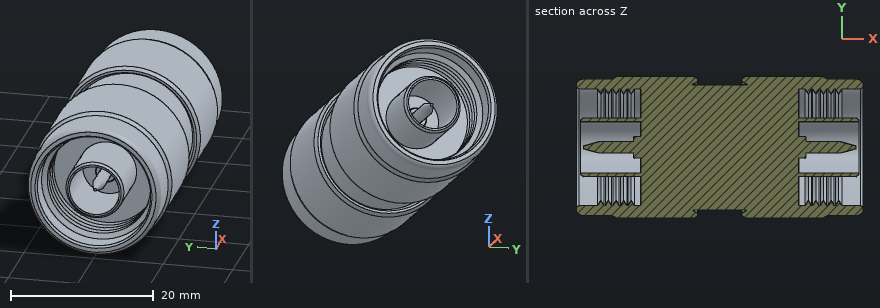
import cadquery as cq
length = 40.2
half_length = length / 2

nut_radius = 9.975
nut_length = 17.05
sleeve_radius = 9.6
sleeve_length = 5.0
sleeve_rounding_length = 1.0
rim_radius = 9.0
rim_drop = sleeve_radius - rim_radius
sleeve_rounding_radius = (sleeve_rounding_length**2 + rim_drop**2) / (2 * rim_drop)
shoulder_length = 0.7
nut_chamfer_length = 0.55
nut_chamfer_height = 0.4

neck_radius = 8.8
countersink_radius = 9.22
countersink_length = 0.8

mouth_radius = 8.4
mouth_chamfer_depth = 0.4
bore_radius = 8.15
thread_crest_radius = 7.42
thread_start_depth = 3.0
thread_flank_length = 0.45
thread_pitch = 1.058
thread_crests = 5
cavity_depth = 9.0

tube_radius = 4.15
tube_bore_radius = 3.57
tube_tip_radius = 3.84
tube_tip_depth = 0.6
tube_chamfer_length = 0.35

pin_tip_depth = 1.0
pin_tip_radius = 0.2
pin_radius = 0.85
pin_cone_length = 2.3
pin_base_radius = 1.55
pin_base_chamfer = 0.12
pin_base_length = 1.0


def revolve_about_x(profile):
    """Close a half profile and turn it into a solid."""
    return profile.close().revolve(360, (0, 0, 0), (1, 0, 0))


def start_profile(depth, radius):
    """Begin a (depth, radius) profile, with depth 0 on the -X end face."""
    return cq.Workplane("XY", origin=(-half_length, 0, 0)).moveTo(depth, radius)


def make_outside():
    nut_rise_end = sleeve_length + shoulder_length
    return revolve_about_x(
        start_profile(0, 0)
        .lineTo(0, rim_radius)
        .radiusArc((sleeve_rounding_length, sleeve_radius), sleeve_rounding_radius)
        .lineTo(sleeve_length, sleeve_radius)
        .lineTo(nut_rise_end, nut_radius)
        .lineTo(nut_length - nut_chamfer_length, nut_radius)
        .lineTo(nut_length, nut_radius - nut_chamfer_height)
        .lineTo(nut_length, countersink_radius)
        .lineTo(nut_length - countersink_length, neck_radius)
        .lineTo(half_length, neck_radius)
        .lineTo(half_length, 0)
    )


def make_cavity():
    profile = (
        start_profile(0, 0)
        .lineTo(0, mouth_radius)
        .lineTo(mouth_chamfer_depth, bore_radius)
    )
    first_crest_depth = thread_start_depth + thread_flank_length
    for crest in range(thread_crests):
        crest_depth = first_crest_depth + crest * thread_pitch
        profile = (
            profile.lineTo(crest_depth - thread_flank_length, bore_radius)
            .lineTo(crest_depth, thread_crest_radius)
            .lineTo(crest_depth + thread_flank_length, bore_radius)
        )
    return revolve_about_x(profile.lineTo(cavity_depth, bore_radius).lineTo(cavity_depth, 0))


def make_tube():
    return revolve_about_x(
        start_profile(tube_tip_depth, tube_bore_radius)
        .lineTo(tube_tip_depth, tube_tip_radius)
        .lineTo(tube_tip_depth + tube_chamfer_length, tube_radius)
        .lineTo(cavity_depth, tube_radius)
        .lineTo(cavity_depth, tube_bore_radius)
    )


def make_pin():
    base_depth = cavity_depth - pin_base_length
    cone_end_depth = pin_tip_depth + pin_cone_length
    return revolve_about_x(
        start_profile(pin_tip_depth, 0)
        .lineTo(pin_tip_depth, pin_tip_radius)
        .lineTo(cone_end_depth, pin_radius)
        .lineTo(base_depth, pin_radius)
        .lineTo(base_depth, pin_base_radius - pin_base_chamfer)
        .lineTo(base_depth + pin_base_chamfer, pin_base_radius)
        .lineTo(cavity_depth, pin_base_radius)
        .lineTo(cavity_depth, 0)
    )


half = make_outside().cut(make_cavity()).union(make_tube()).union(make_pin())
result = half.union(half.mirror("YZ"))